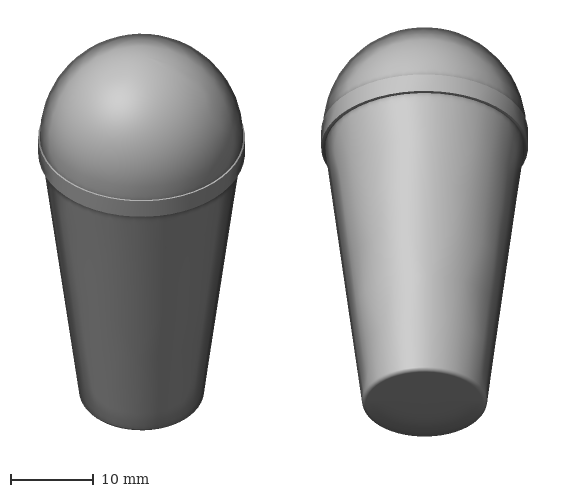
import cadquery as cq

height = 52.0
collar_diameter = 25.0

collar_bottom = 37.0
collar_top = 39.4

base_diameter = 15.05
grip_top_diameter = 24.1
base_fillet = 0.5

dome_diameter = 24.6

collar_radius = collar_diameter / 2
dome_radius = dome_diameter / 2
dome_height = height - collar_top


def make_grip():
    """Cone that widens upwards, with a rounded bottom edge."""
    grip = (
        cq.Workplane("XY")
        .circle(base_diameter / 2)
        .workplane(offset=collar_bottom)
        .circle(grip_top_diameter / 2)
        .loft()
    )
    return grip.faces("<Z").edges().fillet(base_fillet)


def make_collar():
    """Plain cylindrical band between the grip and the dome."""
    return (
        cq.Workplane("XY")
        .workplane(offset=collar_bottom)
        .circle(collar_radius)
        .extrude(collar_top - collar_bottom)
    )


def make_dome():
    """Spherical cap revolved about the vertical axis."""
    sphere_radius = (dome_radius**2 + dome_height**2) / (2 * dome_height)
    sphere_center = height - sphere_radius
    sphere = cq.Workplane("XY").sphere(sphere_radius).translate((0, 0, sphere_center))
    cap_space = (
        cq.Workplane("XY")
        .workplane(offset=collar_top)
        .circle(collar_radius)
        .extrude(dome_height)
    )
    return sphere.intersect(cap_space)


result = make_grip().union(make_collar()).union(make_dome())